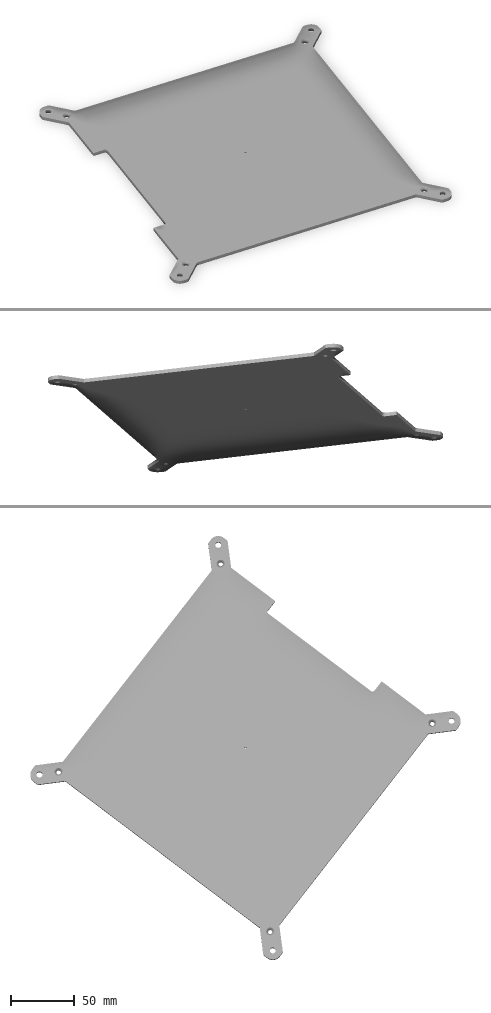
import cadquery as cq
import math

overall = 244.0
thickness = 3.0
body_side = 213.2

arm_width = 15.4
tip_radius = 7.0

outer_hole_offset = overall / 2 - tip_radius
outer_hole_diameter = 4.6
inner_hole_offset = 104.2
inner_hole_diameter = 3.5
countersink_diameter = 6.3
countersink_angle = 90
centre_hole_diameter = 1.5

notch_width = 105.0
notch_depth = 11.2
notch_corner_radius = 2.0


def corner_points(offset):
    """Four points, one near each corner of the plate."""
    return [(sx * offset, sy * offset) for sx in (-1, 1) for sy in (-1, 1)]


def diagonal_arms():
    """Two crossed diagonal bars, trimmed at the tips by a rounded square."""
    diagonal = overall * math.sqrt(2)
    bars = (
        cq.Workplane("XY")
        .rect(diagonal, arm_width)
        .extrude(thickness)
        .union(cq.Workplane("XY").rect(arm_width, diagonal).extrude(thickness))
        .rotate((0, 0, 0), (0, 0, 1), 45)
    )
    envelope = (
        cq.Workplane("XY")
        .rect(overall, overall)
        .extrude(thickness)
        .edges("|Z")
        .fillet(tip_radius)
    )
    return bars.intersect(envelope)


def notch():
    """Cutter open at the -Y edge, with its two inner corners rounded."""
    return (
        cq.Workplane("XY")
        .center(0, -body_side / 2)
        .rect(notch_width, 2 * notch_depth)
        .extrude(thickness)
        .edges("|Z and >Y")
        .fillet(notch_corner_radius)
    )


plate = cq.Workplane("XY").rect(body_side, body_side).extrude(thickness)
plate = plate.union(diagonal_arms()).cut(notch())

top = plate.faces(">Z").workplane(origin=(0, 0, thickness)).tag("top")
plate = top.pushPoints(corner_points(outer_hole_offset)).hole(outer_hole_diameter)
plate = (
    plate.workplaneFromTagged("top")
    .pushPoints(corner_points(inner_hole_offset))
    .cskHole(inner_hole_diameter, countersink_diameter, countersink_angle)
)
plate = plate.workplaneFromTagged("top").hole(centre_hole_diameter)

result = plate